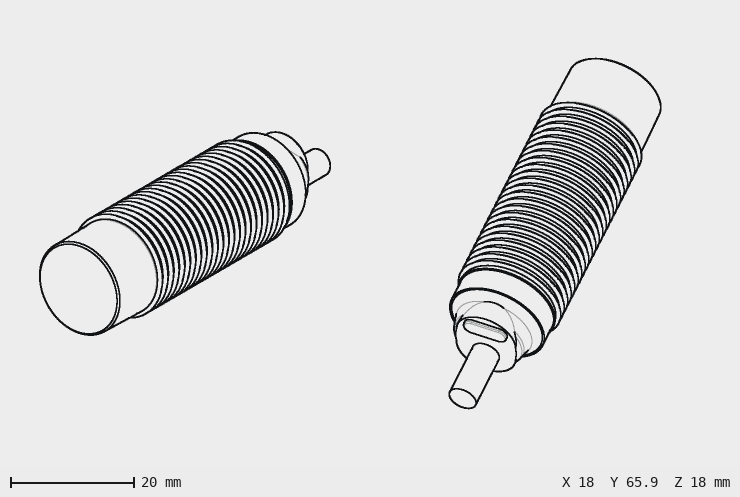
import cadquery as cq


total_length = 65.9

thread_diameter = 18.0
core_radius = 8.3
barrel_rear_y = 51.1
ridge_count = 24
ridge_pitch = 1.5
ridge_base_width = 0.85
first_ridge_y = 10.8

ring_front_y = 46.9
ring_thickness = 0.1
ring_radius = 8.5

nose_length = 10.0
nose_tip_radius = 8.1
nose_chamfer = 0.3

tail_end_y = 55.9
tail_tip_radius = 5.35
tail_chamfer_radius = 5.9
tail_chamfer_length = 0.85
tail_round_radius = 6.1
tail_round_length = 1.3
tail_cone_radius = 6.65
tail_cone_length = 3.4
tail_flare_radius = 8.0
tail_flare_bulge = 0.165
tail_block_height = 13.45
tail_block_width = 10.4

lens_width = 7.5
lens_height = 2.8
lens_thickness = 0.6
lens_center_z = 3.95
lens_edge_radius = 0.2

cable_radius = 2.4
cable_center_z = -2.4


def rear_plane(y):
    """Sketch plane across the axis at the given Y, facing the cable end."""
    return cq.Workplane(cq.Plane(origin=(0, y, 0), xDir=(-1, 0, 0), normal=(0, 1, 0)))


def make_barrel():
    """Nose, ridged barrel, stop ring and tail cone, turned as one profile about the Y axis."""
    crest_radius = thread_diameter / 2
    profile = (
        cq.Workplane("XY")
        .moveTo(0, 0)
        .lineTo(nose_tip_radius - nose_chamfer, 0)
        .lineTo(nose_tip_radius, nose_chamfer)
        .lineTo(core_radius, nose_length)
    )
    for index in range(ridge_count):
        ridge_y = first_ridge_y + index * ridge_pitch
        profile = (
            profile.lineTo(core_radius, ridge_y - ridge_base_width / 2)
            .lineTo(crest_radius, ridge_y)
            .lineTo(core_radius, ridge_y + ridge_base_width / 2)
        )
    cone_base_y = tail_end_y - tail_cone_length
    flare_middle = (
        (tail_cone_radius + tail_flare_radius) / 2 - tail_flare_bulge,
        (cone_base_y + barrel_rear_y) / 2 - tail_flare_bulge,
    )
    profile = (
        profile.lineTo(core_radius, ring_front_y)
        .lineTo(ring_radius, ring_front_y)
        .lineTo(ring_radius, ring_front_y + ring_thickness)
        .lineTo(core_radius, ring_front_y + ring_thickness)
        .lineTo(core_radius, barrel_rear_y)
        .lineTo(tail_flare_radius, barrel_rear_y)
        .threePointArc(flare_middle, (tail_cone_radius, cone_base_y))
        .lineTo(tail_round_radius, tail_end_y - tail_round_length)
        .tangentArcPoint((tail_chamfer_radius, tail_end_y - tail_chamfer_length), relative=False)
        .lineTo(tail_tip_radius, tail_end_y)
        .lineTo(0, tail_end_y)
        .close()
    )
    return profile.revolve(360, (0, 0, 0), (0, 1, 0))


def make_tail_block():
    """Round-ended block that stands out of the tail cone above and below."""
    return (
        rear_plane(barrel_rear_y)
        .slot2D(tail_block_height, tail_block_width, 90)
        .extrude(tail_end_y - barrel_rear_y)
    )


def make_lens():
    """Raised indicator lens on the end of the tail."""
    return (
        rear_plane(tail_end_y)
        .center(0, lens_center_z)
        .slot2D(lens_width, lens_height)
        .extrude(lens_thickness)
        .faces(">Y")
        .edges()
        .fillet(lens_edge_radius)
    )


def make_cable():
    """Round cable that leaves the end of the tail."""
    return (
        rear_plane(tail_end_y)
        .center(0, cable_center_z)
        .circle(cable_radius)
        .extrude(total_length - tail_end_y)
    )


housing = make_barrel().union(make_tail_block()).union(make_lens())
cable = make_cable()

result = cq.Compound.makeCompound([housing.val(), cable.val()])